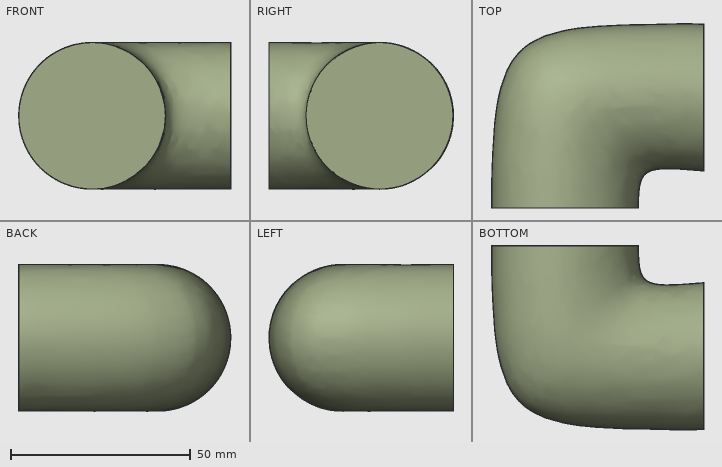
import cadquery as cq

LENGTH_X = 59.15
LENGTH_Y = 51.3
DIAMETER = 40.9
INNER_Y = LENGTH_Y - DIAMETER

OUTER_CONTROLS = [(0, 0), (0, 51.6), (5.3, LENGTH_Y), (LENGTH_X, LENGTH_Y)]
INNER_CONTROLS = [(DIAMETER, 0), (DIAMETER, 11.6), (42.2, 11.75), (LENGTH_X, INNER_Y)]
SPAN_COUNT = 12


def bezier_point(controls, t):
    """Point at parameter t (0 to 1) of a cubic Bezier curve in the XY plane."""
    s = 1 - t
    weights = (s**3, 3 * s**2 * t, 3 * s * t**2, t**3)
    x = sum(weight * point[0] for weight, point in zip(weights, controls))
    y = sum(weight * point[1] for weight, point in zip(weights, controls))
    return cq.Vector(x, y, 0)


def section_wire(t):
    """Upright ellipse across the bend; its height along Z is always the end diameter."""
    outer = bezier_point(OUTER_CONTROLS, t)
    inner = bezier_point(INNER_CONTROLS, t)
    across = inner - outer
    center = (outer + inner) * 0.5
    path_direction = cq.Vector(0, 0, 1).cross(across)
    plane = cq.Plane(origin=center, xDir=across, normal=path_direction)
    return cq.Workplane(plane).ellipse(across.Length / 2, DIAMETER / 2).val()


wires = [section_wire(i / SPAN_COUNT) for i in range(SPAN_COUNT + 1)]
result = cq.Workplane(cq.Solid.makeLoft(wires))